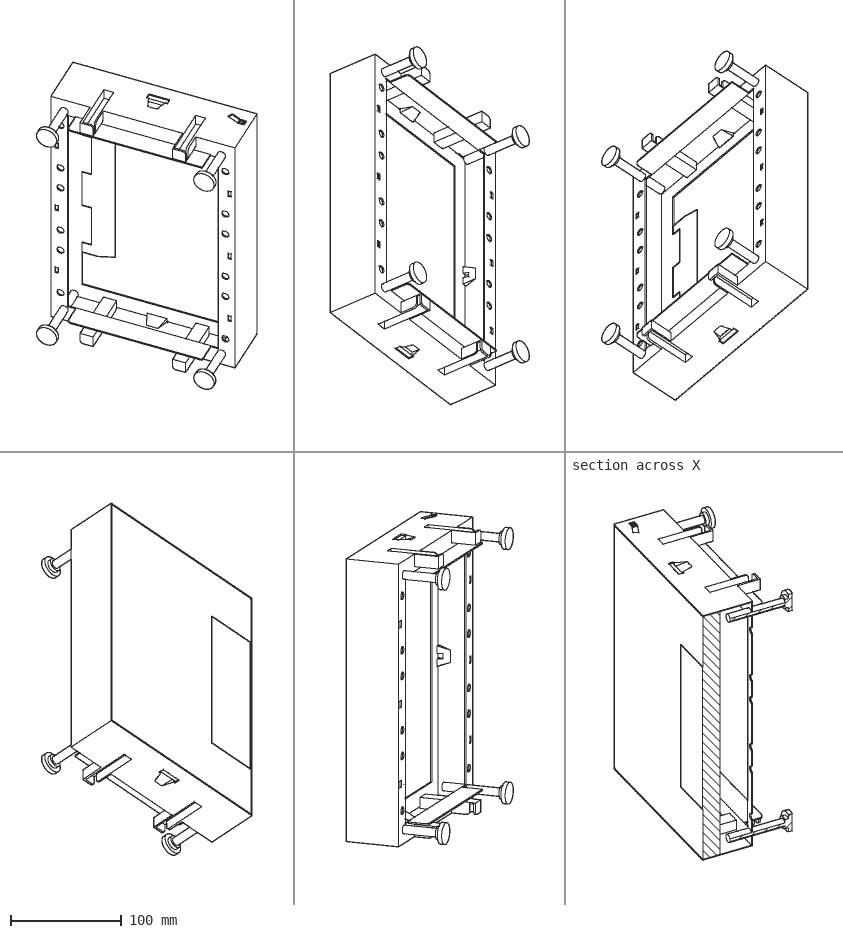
import cadquery as cq


width = 181.0
height = 264.0
depth = 51.0
sheet = 1.3
side_flange = 16.6
end_flange = 17.5

lip_width = 132.5
lip_reach = 19.0
lip_corner_radius = 4.0

foot_inset = 13.2
foot_length = 40.7
stem_diameter = 8.0
stem_inner_length = 23.2
collar_diameter = 12.5
collar_start = 33.0
pad_diameter = 20.0
pad_start = 36.5

hole_inset = 9.5
hole_diameter = 6.9
hole_heights = (25.4, 49.5, 100.4)
slit_inset = 5.5
slit_width = 3.2
slit_height = 6.0
slit_pitch = 74.7

trough_offset = 45.5
trough_width = 13.0
trough_height = 11.5
trough_front = 23.2
trough_back = 31.0
trough_slot_back = 27.2
trough_inner_wall = 1.3
trough_outer_wall = 2.0
trough_nose = 1.8
trough_floor = 1.3
trough_notch_back = 17.5
trough_corner_radius = 3.5

latch_tip_y = 21.5
latch_root_y = 32.5
latch_depth = 4.2
latch_tip_width = 9.0
latch_root_width = 16.6
window_width = 20.3
window_back_y = 37.8
latch_notch = 4.8

lever_arm = ((67.3, 37.5), (70.0, 42.3), (79.2, 38.3), (79.2, 32.7))
lever_head_left = 80.3
lever_head_width = 5.0
lever_head_front = 32.7
lever_head_depth = 5.3
lever_head_bar = 1.0

panel_front = 33.3
panel_recess = 1.3
recess_margin = 0.3
handle_thickness = 0.5
handle_reach = 48.5
handle_taper_start = 31.7
handle_half_height = 76.9
handle_end_half_height = 72.0
block_reach = 25.5
block_inner_z = 20.0
block_outer_z = 64.5
back_plate_inset = 2.5
back_plate_width = 49.5
back_plate_thickness = 0.5

left = -width / 2
right = width / 2
top = height / 2
opening_width = width - 2 * side_flange
opening_height = height - 2 * end_flange
overshoot = 2.6


def box(x0, x1, y0, y1, z0, z1):
    """Box between two opposite corners."""
    return cq.Workplane("XY").box(x1 - x0, y1 - y0, z1 - z0, centered=False).translate((x0, y0, z0))


def centred_box(size_x, y0, y1, size_z):
    """Box centred on the Y axis."""
    return box(-size_x / 2, size_x / 2, y0, y1, -size_z / 2, size_z / 2)


def rod(x, z, diameter, y0, y1):
    """Cylinder along Y."""
    return cq.Workplane("XZ", origin=(x, y0, z)).circle(diameter / 2).extrude(y0 - y1)


def about_y(body, angle):
    """Turn a body about the Y axis."""
    return body.rotate((0, 0, 0), (0, 1, 0), angle)


def make_box_shell():
    """Sheet box that is open at the back, with a flanged opening in its front."""
    shell = centred_box(width, 0, depth, height)
    shell = shell.cut(centred_box(width - 2 * sheet, sheet, depth + overshoot, height - 2 * sheet))
    return shell.cut(centred_box(opening_width, -overshoot, sheet + overshoot, opening_height))


def make_top_lip():
    """Plate that stands forward from the flange above the opening; its left corner is rounded."""
    lip_z = opening_height / 2
    lip = box(-lip_width / 2, lip_width / 2, -lip_reach, sheet, lip_z, lip_z + sheet)
    return lip.edges("|Z and <X and <Y").fillet(lip_corner_radius)


def make_foot(x, z):
    """Round stem with a collar and a round pad."""
    foot = rod(x, z, stem_diameter, -foot_length, stem_inner_length)
    foot = foot.union(rod(x, z, collar_diameter, -pad_start, -collar_start))
    return foot.union(rod(x, z, pad_diameter, -foot_length, -pad_start))


def make_flange_cuts():
    """Round holes and small slits down both side flanges."""
    cuts = cq.Workplane("XY")
    for side in (-1, 1):
        hole_x = side * (right - hole_inset)
        for z in hole_heights:
            for end in (-1, 1):
                cuts = cuts.add(rod(hole_x, end * z, hole_diameter, -overshoot, sheet + overshoot))
        slit = centred_box(slit_width, -overshoot, sheet + overshoot, slit_height)
        slit_x = side * (right - slit_inset)
        for step in (-1, 0, 1):
            cuts = cuts.add(slit.translate((slit_x, 0, step * slit_pitch)))
    return cuts.vals()


def make_trough(side):
    """Solid of the hook trough in the top wall on one side, with the right top corner of its nose rounded."""
    start = side * trough_offset - trough_width / 2
    end = start + trough_width
    bottom = top - trough_height
    nose_back = trough_nose - trough_front
    nose = box(start, end, -trough_front, nose_back, bottom, top)
    nose = nose.edges("|Y and >X and >Z").fillet(trough_corner_radius)
    return nose.union(box(start, end, nose_back, trough_back, bottom, top))


def make_trough_cut(side):
    """Slot that hollows a trough from above, and the notch behind the nose in its right wall."""
    start = side * trough_offset - trough_width / 2
    end = start + trough_width
    left_wall, right_wall = trough_inner_wall, trough_outer_wall
    if side < 0:
        left_wall, right_wall = right_wall, left_wall
    slot_front = trough_nose - trough_front
    floor_z = top - trough_height + trough_floor
    slot_end = end - right_wall
    slot = box(start + left_wall, slot_end, slot_front, trough_slot_back, floor_z, top + overshoot)
    notch = (
        cq.Workplane("YZ", origin=(slot_end, 0, 0))
        .moveTo(slot_front, floor_z)
        .lineTo(-trough_notch_back, floor_z)
        .lineTo(-trough_notch_back, top - trough_corner_radius)
        .radiusArc((trough_corner_radius - trough_notch_back, top), trough_corner_radius)
        .lineTo(slot_front, top)
        .close()
        .extrude(right_wall)
    )
    return slot.union(notch)


def make_latch_wedge(margin, wedge_depth):
    """Wedge below Z = 0 that widens and deepens towards the back."""
    tip = latch_tip_width / 2 + margin
    root = latch_root_width / 2 + margin
    plan = (
        cq.Workplane("XY")
        .polyline([(-tip, latch_tip_y), (tip, latch_tip_y), (root, latch_root_y), (-root, latch_root_y)])
        .close()
        .extrude(-wedge_depth)
    )
    profile = (
        cq.Workplane("YZ")
        .polyline([(latch_tip_y, 0), (latch_root_y, 0), (latch_root_y, -wedge_depth)])
        .close()
        .extrude(window_width, both=True)
    )
    return plan.intersect(profile)


def make_latch_bump():
    """Inner side of a latch, which follows its pocket at one sheet thickness."""
    return make_latch_wedge(sheet, latch_depth).translate((0, 0, -sheet))


def make_latch_cut():
    """Outer pocket of a latch and the window behind it."""
    half = window_width / 2
    window = box(-half, half, latch_root_y, window_back_y, -latch_depth, overshoot)
    return make_latch_wedge(0, latch_depth).union(window)


def make_side_latch():
    """Solid latch of the right wall, notched in the middle of its root."""
    half = latch_notch / 2
    notch = box(-half, half, latch_root_y - latch_notch, latch_root_y, -sheet - latch_depth, -sheet)
    return make_latch_bump().cut(notch)


def make_lever_cut():
    """Slanted arm and barred head of the lever cut-out in the top wall."""
    cut_z = top - sheet
    arm = cq.Workplane("XY", origin=(0, 0, cut_z)).polyline(lever_arm).close().extrude(sheet + overshoot)
    head_right = lever_head_left + lever_head_width
    head_back = lever_head_front + lever_head_depth
    head = box(lever_head_left, head_right, lever_head_front, head_back, cut_z, top + overshoot)
    bar_x = lever_head_left + lever_head_width / 2
    bar = box(bar_x, bar_x + lever_head_bar, lever_head_front, head_back, cut_z, top + overshoot)
    return [arm.val(), *head.cut(bar).vals()]


def make_shell():
    """Box shell with its lips, troughs, latches, cut-outs and feet."""
    shell = make_box_shell()
    lip = make_top_lip()
    shell = shell.union(lip).union(lip.mirror("XY"))
    for turn in (0, 180):
        for side in (-1, 1):
            shell = shell.union(about_y(make_trough(side), turn))
            shell = shell.cut(about_y(make_trough_cut(side), turn))
        shell = shell.union(about_y(make_latch_bump().translate((0, 0, top)), turn))
        shell = shell.cut(about_y(make_latch_cut().translate((0, 0, top)), turn))
    shell = shell.union(about_y(make_side_latch().translate((0, 0, right)), 90))
    for cutter in make_flange_cuts() + make_lever_cut():
        shell = shell.cut(cq.Workplane(cutter))
    for side in (-1, 1):
        for end in (-1, 1):
            shell = shell.union(make_foot(side * (right - foot_inset), end * (top - foot_inset)))
    return shell


def make_handle():
    """Flat tapered plate and two blocks on the left of the recessed panel face."""
    face_y = panel_front + panel_recess
    start = left + side_flange - recess_margin
    outline = [
        (start, -handle_half_height),
        (left + handle_taper_start, -handle_half_height),
        (left + handle_reach, -handle_end_half_height),
        (left + handle_reach, handle_end_half_height),
        (left + handle_taper_start, handle_half_height),
        (start, handle_half_height),
    ]
    handle = cq.Workplane("XZ", origin=(0, face_y, 0)).polyline(outline).close().extrude(handle_thickness)
    block = box(start, left + block_reach, panel_front, face_y, block_inner_z, block_outer_z)
    return handle.union(block).union(block.mirror("XY"))


def make_panel():
    """Slab that fills the back of the shell, recessed behind the front opening."""
    panel = centred_box(width - 2 * sheet, panel_front, depth, height - 2 * sheet)
    recess_width = opening_width + 2 * recess_margin
    recess_height = opening_height + 2 * recess_margin
    panel = panel.cut(centred_box(recess_width, panel_front, panel_front + panel_recess, recess_height))
    panel = panel.union(make_handle())
    plate_left = left + back_plate_inset
    back_plate = box(plate_left, plate_left + back_plate_width, depth, depth + back_plate_thickness,
                     -handle_half_height, handle_half_height)
    return panel.union(back_plate)


shell = make_shell()
panel = make_panel()

result = cq.Compound.makeCompound([shell.solids().val(), panel.solids().val()])